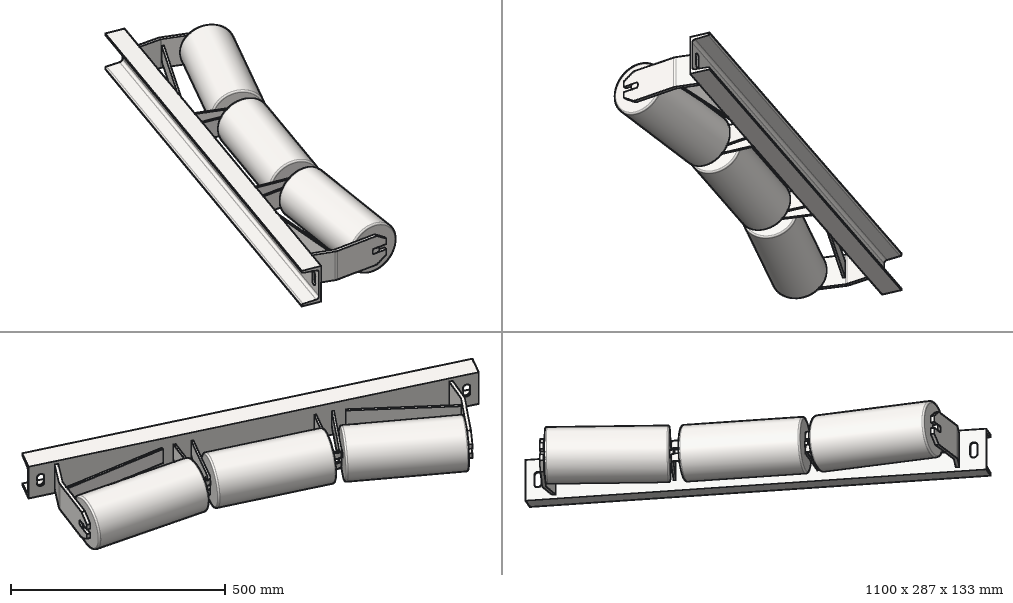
import cadquery as cq
import math

beam_length = 1100.0
beam_height = 100.0
beam_depth = 50.0
web_thickness = 5.0
flange_tip_thickness = 7.0
flange_root_thickness = 10.0
root_radius = 8.0
tip_radius = 3.0
beam_slot_width = 18.0
beam_slot_length = 37.0
beam_slot_inset = 30.0

roller_diameter = 133.0
roller_length = 290.0
roller_edge_radius = 4.0
shaft_diameter = 20.0
shaft_flat_width = 14.0

center_roller_y = 119.0
side_roller_x = 321.0
side_roller_y = 147.0
trough_angle = 10.0

center_gap = 2.0
side_gap = 3.0

inner_thickness = 5.0
inner_width = 50.0
arch_center_y = 131.0

outer_thickness = 9.0
outer_width = 80.0
outer_bend_y = 64.0
outer_foot_x = 482.0
bend_inner_radius = 11.0
outer_tip_rise = 30.0
outer_tip_width = 44.0
outer_shoulder_rise = 2.0

brace_thickness = 5.0
brace_width = 44.0
brace_foot_x = 224.0
brace_top_y = 66.0

tilt = math.radians(trough_angle)
along = (math.cos(tilt), math.sin(tilt))
across = (-math.sin(tilt), math.cos(tilt))
center_plate_face = roller_length / 2 + center_gap
side_plate_face = roller_length / 2 + side_gap
center_reach = center_plate_face + inner_thickness
side_inner_reach = side_plate_face + inner_thickness
side_outer_reach = side_plate_face + outer_thickness


def right_roller_point(outboard, up):
    """Point in the XY plane given along and across the right roller axis."""
    return (
        side_roller_x + outboard * along[0] + up * across[0],
        side_roller_y + outboard * along[1] + up * across[1],
    )


def fillet_edge_at(body, point, radius):
    """Round the edge whose middle is nearest to the point."""
    return body.edges(cq.selectors.NearestToPointSelector(point)).fillet(radius)


def make_beam():
    """Channel with tapered flanges and an upright mounting slot near each end of its web."""
    half = beam_height / 2
    section = (
        cq.Workplane("YZ")
        .moveTo(0, -half)
        .lineTo(0, half)
        .lineTo(-beam_depth, half)
        .lineTo(-beam_depth, half - flange_tip_thickness)
        .lineTo(-web_thickness, half - flange_root_thickness)
        .lineTo(-web_thickness, flange_root_thickness - half)
        .lineTo(-beam_depth, flange_tip_thickness - half)
        .lineTo(-beam_depth, -half)
        .close()
    )
    beam = section.extrude(beam_length).translate((-beam_length / 2, 0, 0))
    for side in (1, -1):
        root = (0, -web_thickness, side * (half - flange_root_thickness))
        tip = (0, -beam_depth, side * (half - flange_tip_thickness))
        beam = fillet_edge_at(beam, root, root_radius)
        beam = fillet_edge_at(beam, tip, tip_radius)
    slot_x = beam_length / 2 - beam_slot_inset
    slots = (
        cq.Workplane("XZ")
        .pushPoints([(-slot_x, 0), (slot_x, 0)])
        .slot2D(beam_slot_length, beam_slot_width, angle=90)
        .extrude(beam_depth)
    )
    return beam.cut(slots)


def make_roller(shaft_start, shaft_end):
    """Barrel centered on the origin with a flatted shaft, both along X."""
    barrel = (
        cq.Workplane("YZ")
        .circle(roller_diameter / 2)
        .extrude(roller_length)
        .edges()
        .fillet(roller_edge_radius)
        .translate((-roller_length / 2, 0, 0))
    )
    shaft_length = shaft_end - shaft_start
    flats = cq.Workplane("XY").box(
        shaft_length, shaft_diameter, shaft_flat_width, centered=(False, True, True)
    )
    shaft = cq.Workplane("YZ").circle(shaft_diameter / 2).extrude(shaft_length).intersect(flats)
    return barrel.union(shaft.translate((shaft_start, 0, 0)))


def place_on_right(body):
    """Move a body from the roller frame to the right side roller."""
    return body.rotate((0, 0, 0), (0, 0, 1), trough_angle).translate((side_roller_x, side_roller_y, 0))


def shaft_slot(outboard_start, outboard_end):
    """Cutter along X with an open top and a bottom shaped to the shaft."""
    length = outboard_end - outboard_start
    rise = 2 * roller_diameter
    cutter = cq.Workplane("YZ").circle(shaft_diameter / 2).extrude(length)
    cutter = cutter.union(
        cq.Workplane("XY").box(length, rise, shaft_flat_width, centered=(False, False, True))
    )
    limit = cq.Workplane("XY").box(length, 2 * rise, shaft_flat_width, centered=(False, True, True))
    return cutter.intersect(limit).translate((outboard_start, 0, 0))


def make_inner_bracket():
    """Bent strap: upright leg by the center roller, leaning leg by the side roller."""
    half = inner_thickness / 2
    upright_x = center_plate_face + half
    leaning_offset = side_plate_face + half
    span = (side_roller_x - upright_x) * along[0] + (arch_center_y - side_roller_y) * -along[1]
    arch_radius = (span - leaning_offset) / (1 + along[0])
    arch_x = upright_x + arch_radius
    outer = arch_radius + half
    inner = arch_radius - half

    def arch_point(radius, degrees):
        turn = math.radians(degrees)
        return (arch_x + radius * math.cos(turn), arch_center_y + radius * math.sin(turn))

    def leaning_foot(outboard):
        """Where the leaning leg face meets the beam."""
        up = -(side_roller_y + outboard * along[1]) / across[1]
        return right_roller_point(outboard, up)

    strap = (
        cq.Workplane("XY")
        .moveTo(upright_x - half, 0)
        .lineTo(*arch_point(outer, 180))
        .threePointArc(arch_point(outer, 90), arch_point(outer, trough_angle))
        .lineTo(*leaning_foot(half - leaning_offset))
        .lineTo(*leaning_foot(-half - leaning_offset))
        .lineTo(*arch_point(inner, trough_angle))
        .threePointArc(arch_point(inner, 90), arch_point(inner, 180))
        .lineTo(upright_x + half, 0)
        .close()
        .extrude(inner_width)
        .translate((0, 0, -inner_width / 2))
    )
    side_slot = place_on_right(shaft_slot(-side_inner_reach - arch_radius, -roller_length / 2))
    center_slot = shaft_slot(roller_length / 2, arch_x).translate((0, center_roller_y, 0))
    return strap.cut(center_slot).cut(side_slot)


def leaning_x(y, outboard):
    """X at height y of a plane square to the right roller axis."""
    return side_roller_x + (outboard - (y - side_roller_y) * along[1]) / along[0]


def make_outer_bracket():
    """Bent end plate: foot leaning outboard, upper part square to the roller, tapered tip."""
    half = outer_thickness / 2
    bend_inner = (leaning_x(outer_bend_y, side_plate_face), outer_bend_y)
    bend_outer = (leaning_x(outer_bend_y, side_outer_reach), outer_bend_y)
    plate = (
        cq.Workplane("XY")
        .moveTo(outer_foot_x - half, 0)
        .lineTo(*bend_inner)
        .lineTo(*right_roller_point(side_plate_face, outer_tip_rise))
        .lineTo(*right_roller_point(side_outer_reach, outer_tip_rise))
        .lineTo(*bend_outer)
        .lineTo(outer_foot_x + half, 0)
        .close()
        .extrude(outer_width)
        .translate((0, 0, -outer_width / 2))
    )
    plate = fillet_edge_at(plate, (*bend_inner, 0), bend_inner_radius)
    plate = fillet_edge_at(plate, (*bend_outer, 0), bend_inner_radius + outer_thickness)
    foot_drop = 2 * side_roller_y
    outline = place_on_right(
        cq.Workplane("YZ")
        .polyline([
            (-foot_drop, -outer_width / 2),
            (outer_shoulder_rise, -outer_width / 2),
            (outer_tip_rise, -outer_tip_width / 2),
            (outer_tip_rise, outer_tip_width / 2),
            (outer_shoulder_rise, outer_width / 2),
            (-foot_drop, outer_width / 2),
        ])
        .close()
        .extrude(roller_length)
    )
    slot = place_on_right(shaft_slot(roller_length / 2, roller_length))
    return plate.intersect(outline).cut(slot)


def make_brace():
    """Flat strut from the beam up to the plate just above its bend."""
    lower_end = (leaning_x(brace_top_y, side_plate_face), brace_top_y)
    slope = math.atan2(brace_top_y, lower_end[0] - brace_foot_x)
    upper_y = brace_top_y + brace_thickness / math.cos(slope)
    return (
        cq.Workplane("XY")
        .polyline([
            (brace_foot_x, 0),
            lower_end,
            (leaning_x(upper_y, side_plate_face), upper_y),
            (brace_foot_x - brace_thickness * math.sin(slope), brace_thickness * math.cos(slope)),
        ])
        .close()
        .extrude(brace_width)
        .translate((0, 0, -brace_width / 2))
    )


beam = make_beam()
center_roller = make_roller(-center_reach, center_reach).translate((0, center_roller_y, 0))
right_roller = place_on_right(make_roller(-side_inner_reach, side_outer_reach))
bodies = [beam, center_roller]
for right_body in (right_roller, make_inner_bracket(), make_outer_bracket(), make_brace()):
    bodies += [right_body, right_body.mirror("YZ")]

result = cq.Compound.makeCompound([body.val() for body in bodies])